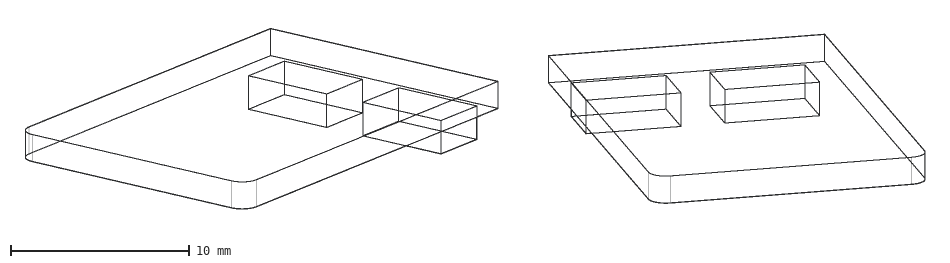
import cadquery as cq

BOARD_WIDTH = 16.0
BOARD_LENGTH = 23.5
BOARD_THICKNESS = 1.6
CORNER_RADIUS = 1.0

TOTAL_HEIGHT = 3.57
BLOCK_HEIGHT = TOTAL_HEIGHT - BOARD_THICKNESS
BLOCK_WIDTH = 5.5
BLOCK_LENGTH = 3.34
BLOCK_SPACING = 8.04
BLOCK_REAR_INSET = 0.35


def make_board():
    """Plate with its underside on Z = 0, centred on X and Y."""
    return (
        cq.Workplane("XY")
        .box(BOARD_WIDTH, BOARD_LENGTH, BOARD_THICKNESS, centered=(True, True, False))
        .edges("|Z and <Y")
        .fillet(CORNER_RADIUS)
    )


def make_block(center_x):
    """Plain block hanging from the underside of the board."""
    center_y = BOARD_LENGTH / 2 - BLOCK_REAR_INSET - BLOCK_LENGTH / 2
    return (
        cq.Workplane("XY")
        .center(center_x, center_y)
        .rect(BLOCK_WIDTH, BLOCK_LENGTH)
        .extrude(-BLOCK_HEIGHT)
    )


board = make_board()
blocks = [make_block(side * BLOCK_SPACING / 2) for side in (-1, 1)]

result = cq.Compound.makeCompound([board.val(), *[block.val() for block in blocks]])